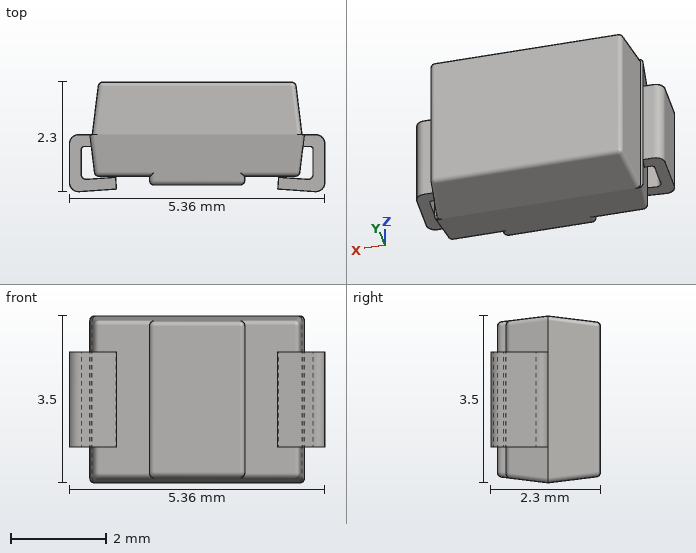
import cadquery as cq
import math

OVERALL_LENGTH = 5.36
HOUSING_WIDTH = 3.5
DRAFT_ANGLE = 7.0
EDGE_RADIUS = 0.1

BACK_LENGTH = 4.4
BACK_DEPTH = 1.1

FRONT_LENGTH = 4.5
FRONT_DEPTH = 0.88
PAD_DEPTH = 1.06
PAD_LENGTH = 2.0

LEAD_WIDTH = 2.0
LEAD_THICKNESS = 0.25
LEAD_DEPTH = 1.2
FOOT_REACH = 0.99
FOOT_ANGLE = 4.0
BEND_OUTER_RADIUS = 0.2
UPPER_INNER_RADIUS = 0.065
FOOT_INNER_RADIUS = 0.1

SELECTION_MARGIN = 0.005


def drafted_block(plane, first_side, second_side, depth):
    """Rectangular block that narrows by the draft angle along the plane's normal."""
    return (
        cq.Workplane(plane)
        .rect(first_side, second_side)
        .extrude(depth, taper=DRAFT_ANGLE)
    )


def make_back_half():
    """Half of the housing on the +Y side, rounded everywhere but at the parting plane."""
    block = drafted_block("ZX", HOUSING_WIDTH, BACK_LENGTH, BACK_DEPTH)
    return block.edges("not <Y").fillet(EDGE_RADIUS)


def make_front_half():
    """Half of the housing on the -Y side, with a raised pad between two shoulders."""
    block = drafted_block("XZ", FRONT_LENGTH, HOUSING_WIDTH, PAD_DEPTH)
    shoulder_length = (FRONT_LENGTH - PAD_LENGTH) / 2
    shoulder_x = (PAD_LENGTH + shoulder_length) / 2
    shoulder_drop = PAD_DEPTH - FRONT_DEPTH
    shoulder_y = -(FRONT_DEPTH + PAD_DEPTH) / 2
    for side in (-1, 1):
        shoulder_space = (
            cq.Workplane("XY")
            .box(shoulder_length, shoulder_drop, HOUSING_WIDTH)
            .translate((side * shoulder_x, shoulder_y, 0))
        )
        block = block.cut(shoulder_space)

    corner_x = PAD_LENGTH / 2 + SELECTION_MARGIN
    inside_corners = cq.selectors.BoxSelector(
        (-corner_x, -FRONT_DEPTH - SELECTION_MARGIN, -SELECTION_MARGIN),
        (corner_x, -FRONT_DEPTH + SELECTION_MARGIN, SELECTION_MARGIN),
    )
    parting_edges = cq.selectors.DirectionMinMaxSelector(cq.Vector(0, 1, 0))
    sharp_edges = cq.selectors.SumSelector(parting_edges, inside_corners)
    return block.edges(cq.selectors.InverseSelector(sharp_edges)).fillet(EDGE_RADIUS)


def make_housing():
    """Whole moulded housing; the front half is slightly longer, leaving a ledge at each end."""
    return make_back_half().union(make_front_half()).solids()


def round_bend(lead, x, y, radius):
    """Round the lead's corner that runs along Z through the point (x, y)."""
    corner = cq.selectors.NearestToPointSelector((x, y, 0))
    return lead.edges("|Z").edges(corner).fillet(radius)


def make_lead():
    """Lead on the -X side: leaves the end wall, bends to -Y and hooks back in front of the housing."""
    tilt = math.radians(FOOT_ANGLE)
    outer_x = -OVERALL_LENGTH / 2
    inner_x = outer_x + LEAD_THICKNESS
    wall_x = -FRONT_LENGTH / 2
    wall_inset = LEAD_THICKNESS * math.tan(math.radians(DRAFT_ANGLE))

    bend_centre_y = BEND_OUTER_RADIUS - LEAD_DEPTH
    corner_factor = math.tan(tilt) + 1 / math.cos(tilt)
    foot_corner_y = bend_centre_y - BEND_OUTER_RADIUS * corner_factor
    foot_inner_y = foot_corner_y + LEAD_THICKNESS * corner_factor
    tip_x = outer_x + FOOT_REACH
    tip_y = foot_corner_y + FOOT_REACH * math.tan(tilt)
    tip_inner_x = tip_x - LEAD_THICKNESS * math.sin(tilt)
    tip_inner_y = tip_y + LEAD_THICKNESS * math.cos(tilt)

    lead = (
        cq.Workplane("XY")
        .polyline([
            (wall_x, 0),
            (outer_x, 0),
            (outer_x, foot_corner_y),
            (tip_x, tip_y),
            (tip_inner_x, tip_inner_y),
            (inner_x, foot_inner_y),
            (inner_x, -LEAD_THICKNESS),
            (wall_x + wall_inset, -LEAD_THICKNESS),
        ])
        .close()
        .extrude(LEAD_WIDTH / 2, both=True)
    )

    lead = round_bend(lead, outer_x, 0, BEND_OUTER_RADIUS)
    lead = round_bend(lead, outer_x, foot_corner_y, BEND_OUTER_RADIUS)
    lead = round_bend(lead, inner_x, -LEAD_THICKNESS, UPPER_INNER_RADIUS)
    return round_bend(lead, inner_x, foot_inner_y, FOOT_INNER_RADIUS)


housing = make_housing()

leads = []
for mirrored in (False, True):
    lead = make_lead()
    if mirrored:
        lead = lead.mirror("YZ")
    leads.append(lead.val())

result = cq.Compound.makeCompound([housing.val(), *leads])